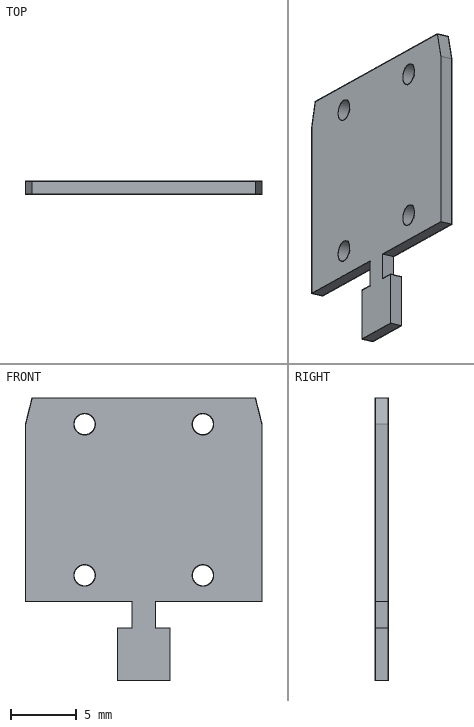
import cadquery as cq

plate_width = 18.0
plate_height = 15.5
thickness = 1.0
corner_cut_width = 0.5
corner_cut_height = 2.0

neck_width = 1.8
neck_height = 2.0
tab_width = 4.0
tab_height = 4.0

hole_diameter = 1.6
hole_spacing_x = 9.0
hole_edge_distance = 2.0

neck_bottom = tab_height
plate_bottom = neck_bottom + neck_height
plate_top = plate_bottom + plate_height


def make_body():
    """Plate, neck and tab as one flat profile, symmetric about X = 0."""
    right_half = [
        (tab_width / 2, 0),
        (tab_width / 2, neck_bottom),
        (neck_width / 2, neck_bottom),
        (neck_width / 2, plate_bottom),
        (plate_width / 2, plate_bottom),
        (plate_width / 2, plate_top - corner_cut_height),
        (plate_width / 2 - corner_cut_width, plate_top),
    ]
    left_half = [(-x, z) for x, z in reversed(right_half)]
    back_face = cq.Workplane("XZ", origin=(0, thickness / 2, 0))
    return back_face.polyline(right_half + left_half).close().extrude(thickness)


def make_holes():
    """Four through holes, inset equally from the plate's top and bottom edges."""
    centers = [
        (x, z)
        for x in (-hole_spacing_x / 2, hole_spacing_x / 2)
        for z in (plate_bottom + hole_edge_distance, plate_top - hole_edge_distance)
    ]
    back_face = cq.Workplane("XZ", origin=(0, thickness / 2, 0))
    return back_face.pushPoints(centers).circle(hole_diameter / 2).extrude(thickness)


result = make_body().cut(make_holes())